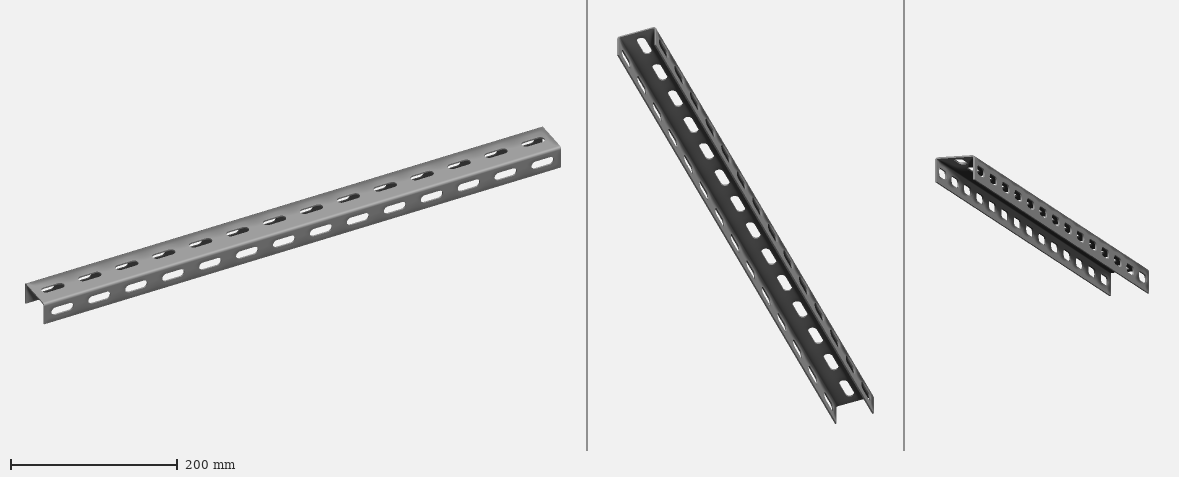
import cadquery as cq

width = 50.0
length = 700.0
height = 30.0
thickness = 2.0
inner_bend_radius = 1.5
outer_bend_radius = inner_bend_radius + thickness

slot_length = 30.0
slot_width = 11.0
slot_pitch = 50.0
slot_count = int(length // slot_pitch)
flange_slot_height = 14.5


def bent_block(block_width, block_height, bend_radius):
    """Full-length block standing on Z = 0 with its two upper long edges rounded."""
    block = cq.Workplane("XY").box(block_width, length, block_height, centered=(True, True, False))
    return block.edges("|Y and >Z").fillet(bend_radius)


def make_channel():
    outside = bent_block(width, height, outer_bend_radius)
    inside = bent_block(width - 2 * thickness, height - thickness, inner_bend_radius)
    return outside.cut(inside)


def slot_row(workplane, depth):
    """Row of slots along Y, extruded by depth to both sides of the workplane."""
    return (
        workplane.rarray(1, slot_pitch, 1, slot_count)
        .slot2D(slot_length, slot_width, angle=90)
        .extrude(depth, both=True)
    )


def web_slots():
    return slot_row(cq.Workplane("XY", origin=(0, 0, height)), outer_bend_radius)


def flange_slots():
    across_flanges = cq.Plane(origin=(0, 0, flange_slot_height), xDir=(0, 0, -1), normal=(1, 0, 0))
    return slot_row(cq.Workplane(across_flanges), width)


result = make_channel().cut(web_slots()).cut(flange_slots())